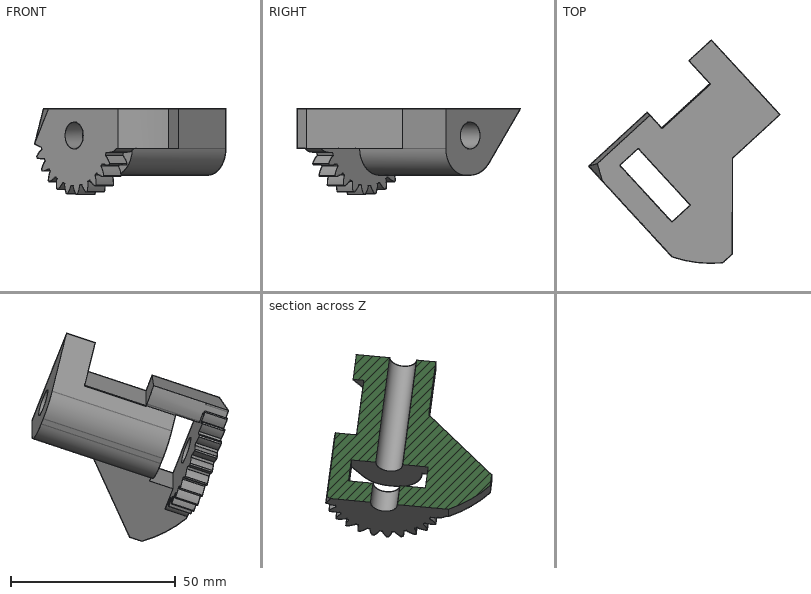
import cadquery as cq
import math

TURN_ANGLE = -47.4

TOP_Z = 8.15
PLATE_BOTTOM_Z = -3.9
PLATE_THICKNESS = TOP_Z - PLATE_BOTTOM_Z

TOOTH_COUNT = 25
TOOTH_PITCH = 360 / TOOTH_COUNT
FIRST_TOOTH = 1
LAST_TOOTH = 12
TIP_RADIUS = 18.0
ROOT_RADIUS = 15.2
TIP_HALF_ANGLE = 0.9
MIDDLE_HALF_ANGLE = 3.6
ROOT_HALF_ANGLE = 5.6
GEAR_THICKNESS = 7.2
BORE_RADIUS = 4.1

SLOT_WIDTH = 7.5
SLOT_LENGTH = 23.35
SLOT_CENTER_X = 0.15
SLOT_END_Y = GEAR_THICKNESS + SLOT_WIDTH

PART_LENGTH = 53.4
BLOCK_RIGHT_X = 10.05
BLOCK_BOTTOM_Z = -12.1
SLOPE_RADIUS = 10.05
SLOPE_CENTER_Z = BLOCK_BOTTOM_Z + SLOPE_RADIUS
RIGHT_RADIUS = PLATE_BOTTOM_Z - BLOCK_BOTTOM_Z
NOTCH_START_Y = 24.2
NOTCH_END_Y = 44.1
NOTCH_X = -11.05
HOOK_X = -20.8
WING_START_X = 19.7
WING_X = 31.4
WING_ARC_MIDDLE = (26.05, 4.4)
WING_ARC_END_Y = 10.1
WING_EDGE_END_Y = 14.1
WING_BACK_Y = 33.9

SIDE_TOP_X = -16.55
UNDERSIDE_MIDDLE = (-15.3, -3.45)
UNDERSIDE_END_X = -11.95

BLEND_START = (16.5, -5.0)
BLEND_MIDDLE = (18.05, -4.6)
BLEND_END_X = 19.0

CORNER_TOP_X = -11.55
CORNER_TOP_Y = 2.5
CORNER_CUT_SIZE = 40.7


def polar(radius, degrees):
    angle = math.radians(degrees)
    return (radius * math.cos(angle), radius * math.sin(angle))


SIDE_TIP_X, SIDE_TIP_Z = polar(TIP_RADIUS, TIP_HALF_ANGLE - LAST_TOOTH * TOOTH_PITCH)


def prism_along_y(profile, start_y, end_y):
    """Extrude a closed XZ profile from start_y to end_y."""
    return profile.extrude(-(end_y - start_y)).translate((0, start_y, 0))


def make_plate():
    return (
        cq.Workplane("XY", origin=(0, 0, PLATE_BOTTOM_Z))
        .moveTo(0, 0)
        .lineTo(WING_START_X, 0)
        .threePointArc(WING_ARC_MIDDLE, (WING_X, WING_ARC_END_Y))
        .lineTo(WING_X, WING_EDGE_END_Y)
        .lineTo(BLOCK_RIGHT_X, WING_BACK_Y)
        .lineTo(BLOCK_RIGHT_X, NOTCH_END_Y)
        .lineTo(NOTCH_X, NOTCH_END_Y)
        .lineTo(NOTCH_X, NOTCH_START_Y)
        .lineTo(UNDERSIDE_END_X, NOTCH_START_Y)
        .lineTo(UNDERSIDE_END_X, 0)
        .close()
        .extrude(PLATE_THICKNESS)
    )


def make_leaning_side():
    profile = (
        cq.Workplane("XZ")
        .moveTo(UNDERSIDE_END_X, TOP_Z)
        .lineTo(SIDE_TOP_X, TOP_Z)
        .lineTo(SIDE_TIP_X, SIDE_TIP_Z)
        .threePointArc(UNDERSIDE_MIDDLE, (UNDERSIDE_END_X, PLATE_BOTTOM_Z))
        .close()
    )
    return prism_along_y(profile, 0, NOTCH_START_Y)


def make_block():
    """Round-bottomed block whose sloping side is tangent to its round and ends in the hook."""
    rise = TOP_Z - SLOPE_CENTER_Z
    hook_distance = math.hypot(HOOK_X, rise)
    hook_direction = math.degrees(math.atan2(rise, HOOK_X))
    tangent_direction = hook_direction + math.degrees(math.acos(SLOPE_RADIUS / hook_distance))
    tangent_x, tangent_z = polar(SLOPE_RADIUS, tangent_direction)
    profile = (
        cq.Workplane("XZ")
        .moveTo(HOOK_X, TOP_Z)
        .lineTo(tangent_x, SLOPE_CENTER_Z + tangent_z)
        .radiusArc((0, BLOCK_BOTTOM_Z), -SLOPE_RADIUS)
        .lineTo(BLOCK_RIGHT_X - RIGHT_RADIUS, BLOCK_BOTTOM_Z)
        .radiusArc((BLOCK_RIGHT_X, PLATE_BOTTOM_Z), -RIGHT_RADIUS)
        .lineTo(BLOCK_RIGHT_X, TOP_Z)
        .close()
    )
    block = prism_along_y(profile, SLOT_END_Y, PART_LENGTH)
    notch = (
        cq.Workplane("XY", origin=(0, 0, PLATE_BOTTOM_Z))
        .moveTo(HOOK_X, SLOT_END_Y)
        .lineTo(NOTCH_X, SLOT_END_Y)
        .lineTo(NOTCH_X, NOTCH_END_Y)
        .lineTo(HOOK_X, NOTCH_END_Y)
        .close()
        .extrude(PLATE_THICKNESS)
    )
    return block.cut(notch)


def add_flank(profile, tooth_angle, side, start_radius, end_radius):
    """Add one tooth flank; side is -1 or 1 for the flank before or after the tooth center."""
    middle_radius = (TIP_RADIUS + ROOT_RADIUS) / 2
    end_half_angle = TIP_HALF_ANGLE if end_radius > start_radius else ROOT_HALF_ANGLE
    return profile.threePointArc(
        polar(middle_radius, tooth_angle + side * MIDDLE_HALF_ANGLE),
        polar(end_radius, tooth_angle + side * end_half_angle),
    )


def make_gear():
    last_angle = -LAST_TOOTH * TOOTH_PITCH
    profile = cq.Workplane("XZ").moveTo(SIDE_TIP_X, SIDE_TIP_Z)
    profile = add_flank(profile, last_angle, 1, TIP_RADIUS, ROOT_RADIUS)
    for tooth in range(LAST_TOOTH - 1, FIRST_TOOTH - 1, -1):
        angle = -tooth * TOOTH_PITCH
        profile = profile.lineTo(*polar(ROOT_RADIUS, angle - ROOT_HALF_ANGLE))
        profile = add_flank(profile, angle, -1, ROOT_RADIUS, TIP_RADIUS)
        profile = profile.threePointArc(
            polar(TIP_RADIUS, angle), polar(TIP_RADIUS, angle + TIP_HALF_ANGLE)
        )
        profile = add_flank(profile, angle, 1, TIP_RADIUS, ROOT_RADIUS)
    return prism_along_y(profile.close(), 0, GEAR_THICKNESS)


def make_blend():
    profile = (
        cq.Workplane("XZ")
        .moveTo(BLEND_START[0], PLATE_BOTTOM_Z)
        .lineTo(*BLEND_START)
        .threePointArc(BLEND_MIDDLE, (BLEND_END_X, PLATE_BOTTOM_Z))
        .close()
    )
    return prism_along_y(profile, 0, GEAR_THICKNESS)


def make_slot():
    center_y = GEAR_THICKNESS + SLOT_WIDTH / 2
    return (
        cq.Workplane("XY", origin=(SLOT_CENTER_X, center_y, PLATE_BOTTOM_Z))
        .rect(SLOT_LENGTH, SLOT_WIDTH)
        .extrude(PLATE_THICKNESS)
    )


def make_corner_cut():
    """Material beyond the sloping flat that falls from the top corner to the uppermost tooth."""
    flat_start = cq.Vector(CORNER_TOP_X, 0, TOP_Z)
    along_top = cq.Vector(SIDE_TOP_X, CORNER_TOP_Y, TOP_Z) - flat_start
    down_face = cq.Vector(SIDE_TIP_X, 0, SIDE_TIP_Z) - flat_start
    flat_plane = cq.Plane(
        origin=flat_start.toTuple(),
        xDir=along_top.toTuple(),
        normal=along_top.cross(down_face).toTuple(),
    )
    beyond_flat = (
        cq.Workplane(flat_plane)
        .rect(CORNER_CUT_SIZE, CORNER_CUT_SIZE)
        .extrude(CORNER_CUT_SIZE)
    )
    above_tooth = (
        cq.Workplane("XY", origin=(SIDE_TIP_X, 0, SIDE_TIP_Z))
        .rect(CORNER_CUT_SIZE, CORNER_CUT_SIZE)
        .extrude(CORNER_CUT_SIZE)
    )
    return beyond_flat.intersect(above_tooth)


def make_bore():
    return prism_along_y(cq.Workplane("XZ").circle(BORE_RADIUS), 0, PART_LENGTH)


body = make_plate().union(make_leaning_side()).union(make_block()).union(make_gear())
body = body.union(make_blend())
body = body.cut(make_slot()).cut(make_bore()).cut(make_corner_cut())
result = body.rotate((0, 0, 0), (0, 0, 1), TURN_ANGLE)